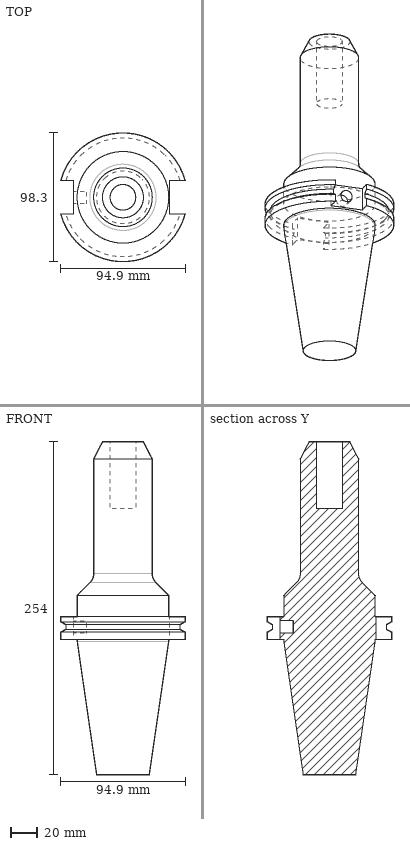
import cadquery as cq
import math

total_height = 254.0
taper_height = 101.5
flange_bottom = 103.0
flange_top = 120.6
shoulder_bottom = 137.0
nose_height = 13.2

collar_diameter = 69.8
flange_diameter = 98.3
neck_diameter = 44.7
nose_tip_diameter = 31.2
taper_ratio = 7 / 24

groove_center = 112.8
groove_width = 8.0
groove_depth = 3.8
groove_flank_angle = math.radians(30)

shoulder_angle = math.radians(45)
neck_fillet_radius = 10.0

slot_width = 25.5
left_slot_floor = 37.8
right_slot_floor = 35.5

bore_diameter = 19.5
bore_depth = 50.8
side_hole_diameter = 9.1
side_hole_depth = 10.2


def make_body():
    """Revolve the complete turned profile about Z."""
    collar_radius = collar_diameter / 2
    flange_radius = flange_diameter / 2
    neck_radius = neck_diameter / 2
    small_end_radius = (collar_diameter - taper_height * taper_ratio) / 2

    groove_radius = flange_radius - groove_depth
    groove_half_width = groove_width / 2
    groove_floor_half = groove_half_width - groove_depth * math.tan(groove_flank_angle)

    fillet_center_radius = neck_radius + neck_fillet_radius
    fillet_start_radius = fillet_center_radius - neck_fillet_radius * math.cos(shoulder_angle)
    fillet_start_z = shoulder_bottom + (collar_radius - fillet_start_radius) * math.tan(shoulder_angle)
    fillet_end_z = fillet_start_z + neck_fillet_radius * math.sin(shoulder_angle)
    fillet_middle = (
        fillet_center_radius - neck_fillet_radius * math.cos(shoulder_angle / 2),
        fillet_end_z - neck_fillet_radius * math.sin(shoulder_angle / 2),
    )

    return (
        cq.Workplane("XZ")
        .moveTo(0, 0)
        .lineTo(small_end_radius, 0)
        .lineTo(collar_radius, taper_height)
        .lineTo(collar_radius, flange_bottom)
        .lineTo(flange_radius, flange_bottom)
        .lineTo(flange_radius, groove_center - groove_half_width)
        .lineTo(groove_radius, groove_center - groove_floor_half)
        .lineTo(groove_radius, groove_center + groove_floor_half)
        .lineTo(flange_radius, groove_center + groove_half_width)
        .lineTo(flange_radius, flange_top)
        .lineTo(collar_radius, flange_top)
        .lineTo(collar_radius, shoulder_bottom)
        .lineTo(fillet_start_radius, fillet_start_z)
        .threePointArc(fillet_middle, (neck_radius, fillet_end_z))
        .lineTo(neck_radius, total_height - nose_height)
        .lineTo(nose_tip_diameter / 2, total_height)
        .lineTo(0, total_height)
        .close()
        .revolve(360, (0, 0, 0), (0, 1, 0))
    )


def make_slot(side, floor_distance):
    """Drive slot through the flange; side is -1 or +1 along X."""
    slot_length = flange_diameter / 2
    slot_middle = side * (floor_distance + slot_length / 2)
    return (
        cq.Workplane("XY", origin=(slot_middle, 0, flange_bottom))
        .rect(slot_length, slot_width)
        .extrude(flange_top - flange_bottom)
    )


def make_bore():
    """Blind bore down from the nose."""
    return (
        cq.Workplane("XY", origin=(0, 0, total_height - bore_depth))
        .circle(bore_diameter / 2)
        .extrude(bore_depth)
    )


def make_side_hole():
    """Blind radial hole in the floor of the -X slot, level with the groove."""
    return (
        cq.Workplane("YZ", origin=(-left_slot_floor, 0, groove_center))
        .circle(side_hole_diameter / 2)
        .extrude(side_hole_depth)
    )


result = (
    make_body()
    .cut(make_slot(-1, left_slot_floor))
    .cut(make_slot(1, right_slot_floor))
    .cut(make_bore())
    .cut(make_side_hole())
)